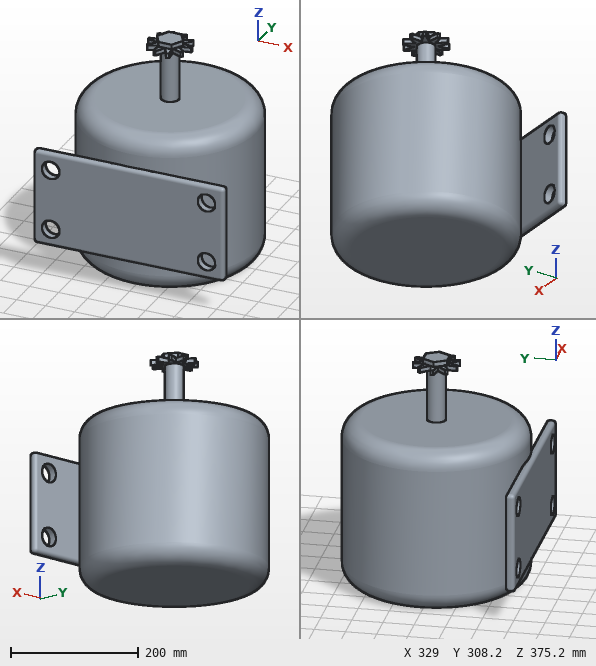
import cadquery as cq
import math

DRUM_DIAMETER = 298.5
DRUM_HEIGHT = 269.8
DRUM_FILLET = 30.0
DRUM_RADIUS = DRUM_DIAMETER / 2

PLATE_WIDTH = 329.0
PLATE_HEIGHT = 164.5
PLATE_THICKNESS = 15.0
PLATE_FILLET = 6.0
PLATE_FRONT = 159.0

HOLE_DIAMETER = 30.0
HOLE_INSET = 30.0
HOLE_SPACING_X = PLATE_WIDTH - 2 * HOLE_INSET
HOLE_SPACING_Z = PLATE_HEIGHT - 2 * HOLE_INSET

OVERALL_HEIGHT = 375.2
SHAFT_DIAMETER = 30.0
HEAD_THICKNESS = 8.3
HEAD_ACROSS_CORNERS = 45.0
GEAR_THICKNESS = 8.0
GEAR_BOTTOM = OVERALL_HEIGHT - HEAD_THICKNESS - GEAR_THICKNESS
TOOTH_COUNT = 10
TOOTH_PITCH = 2 * math.pi / TOOTH_COUNT
TOOTH_TIP_RADIUS = 37.0
TOOTH_TIP_WIDTH = 4.5
VALLEY_RADIUS = 19.5


def make_drum():
    """Cylinder with both rims rounded."""
    drum = cq.Workplane("XY").circle(DRUM_RADIUS).extrude(DRUM_HEIGHT)
    return drum.edges("%CIRCLE").fillet(DRUM_FILLET)


def make_shaft():
    """Round shaft from the top of the drum to the underside of the toothed wheel."""
    return (
        cq.Workplane("XY", origin=(0, 0, DRUM_HEIGHT))
        .circle(SHAFT_DIAMETER / 2)
        .extrude(GEAR_BOTTOM - DRUM_HEIGHT)
    )


def gear_outline():
    """Corners of straight-sided teeth that meet in sharp valleys, one tooth pointing along +X."""
    corners = []
    for tooth in range(TOOTH_COUNT):
        angle = tooth * TOOTH_PITCH
        for side in (-1, 1):
            across = side * TOOTH_TIP_WIDTH / 2
            corners.append((
                TOOTH_TIP_RADIUS * math.cos(angle) - across * math.sin(angle),
                TOOTH_TIP_RADIUS * math.sin(angle) + across * math.cos(angle),
            ))
        valley_angle = angle + TOOTH_PITCH / 2
        corners.append((
            VALLEY_RADIUS * math.cos(valley_angle),
            VALLEY_RADIUS * math.sin(valley_angle),
        ))
    return corners


def make_gear():
    """Flat toothed wheel on top of the shaft."""
    return (
        cq.Workplane("XY", origin=(0, 0, GEAR_BOTTOM))
        .polyline(gear_outline())
        .close()
        .extrude(GEAR_THICKNESS)
    )


def make_head():
    """Hexagonal head on top of the wheel, with two corners on the X axis."""
    return (
        cq.Workplane("XY", origin=(0, 0, GEAR_BOTTOM + GEAR_THICKNESS))
        .polygon(6, HEAD_ACROSS_CORNERS)
        .extrude(HEAD_THICKNESS)
    )


def make_motor():
    """Drum, shaft, toothed wheel and hexagonal head as one solid."""
    return make_drum().union(make_shaft()).union(make_gear()).union(make_head())


def make_mounting_plate():
    """Upright plate with rounded edges, a hole near each corner and a shallow seat for the drum."""
    plate = cq.Workplane("XY").box(PLATE_WIDTH, PLATE_THICKNESS, PLATE_HEIGHT)
    plate = plate.edges().fillet(PLATE_FILLET)
    plate = (
        plate.faces("<Y")
        .workplane(centerOption="CenterOfMass")
        .rarray(HOLE_SPACING_X, HOLE_SPACING_Z, 2, 2)
        .hole(HOLE_DIAMETER)
    )
    plate_centre_y = PLATE_THICKNESS / 2 - PLATE_FRONT
    plate = plate.translate((0, plate_centre_y, DRUM_HEIGHT / 2))
    return plate.cut(make_drum())


motor = make_motor().solids()
mounting_plate = make_mounting_plate().solids()

result = cq.Compound.makeCompound([motor.val(), mounting_plate.val()])